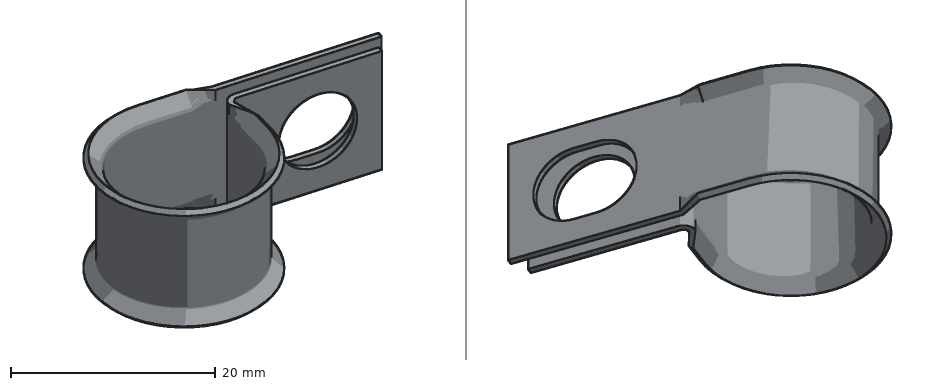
import cadquery as cq
import math

sheet = 0.7
half_height = 14.25 / 2
flare_radius = 19.72 / 2
inner_radius = 7.9
outer_radius = inner_radius + sheet

inner_bend = 1.0
outer_bend = inner_bend - sheet
diagonal = math.sqrt(0.5)

left_flare_end = 5.43
left_taper_end = 7.95
top_flare_end = 2.6
top_taper_end = 5.15

total_length = 36.45
left_leg_end = total_length - flare_radius
right_leg_end = 25.45
corner_inner = 0.62
corner_outer = corner_inner + sheet
right_leg_x = -(top_taper_end + corner_outer)

hole_y = 18.25
hole_diameter = 8.75
slot_length = 11.2

tip_offset = flare_radius - inner_radius
rim_offset = tip_offset - sheet * diagonal
bend_start = half_height - rim_offset + inner_bend * (1 - 2 * diagonal)


def bend_point(radius, degrees):
    """Point on a bend arc, at an angle up from the vertical sheet."""
    angle = math.radians(degrees)
    return inner_bend - radius * math.cos(angle), bend_start + radius * math.sin(angle)


def flare_section(workplane):
    """Upper half of the flared sheet section."""
    return (
        workplane.moveTo(0, 0)
        .lineTo(0, bend_start)
        .threePointArc(bend_point(inner_bend, 22.5), bend_point(inner_bend, 45))
        .lineTo(rim_offset, half_height)
        .lineTo(tip_offset, half_height - sheet * diagonal)
        .lineTo(*bend_point(outer_bend, 45))
        .threePointArc(bend_point(outer_bend, 22.5), (sheet, bend_start))
        .lineTo(sheet, 0)
        .close()
    )


def flat_section(workplane):
    """Upper half of the flat sheet, with one edge for each edge of the flare section."""
    return (
        workplane.moveTo(0, 0)
        .lineTo(0, bend_start)
        .lineTo(0, bend_point(inner_bend, 45)[1])
        .lineTo(0, half_height)
        .lineTo(sheet, half_height)
        .lineTo(sheet, bend_point(outer_bend, 45)[1])
        .lineTo(sheet, bend_start)
        .lineTo(sheet, 0)
        .close()
    )


def left_plane(y):
    """Section plane on the left run, facing along the leg."""
    return cq.Workplane(cq.Plane((-inner_radius, y, 0), (-1, 0, 0), (0, 1, 0)))


def top_plane(distance):
    """Section plane on the run at the +Y side of the ring."""
    return cq.Workplane(cq.Plane((-distance, inner_radius, 0), (0, 1, 0), (1, 0, 0)))


def taper(plane, flare_end, taper_end):
    """Ruled transition from the flared section to the flat sheet."""
    flare = flare_section(plane(flare_end)).wire().val()
    flat = flat_section(plane(taper_end)).wire().val()
    return cq.Workplane(cq.Solid.makeLoft([flare, flat], True))


def flat_leg(x, start, end):
    return cq.Workplane().box(sheet, end - start, half_height, centered=False).translate((x, start, 0))


def leg_corner():
    """Quarter bend joining the top run to the right leg."""
    center_y = inner_radius + corner_outer
    return (
        cq.Workplane()
        .moveTo(right_leg_x, center_y)
        .threePointArc(
            (-top_taper_end - corner_outer * diagonal, center_y - corner_outer * diagonal),
            (-top_taper_end, inner_radius),
        )
        .lineTo(-top_taper_end, outer_radius)
        .threePointArc(
            (-top_taper_end - corner_inner * diagonal, center_y - corner_inner * diagonal),
            (right_leg_x + sheet, center_y),
        )
        .close()
        .extrude(half_height)
    )


ring = flare_section(left_plane(0)).revolve(270, (-inner_radius, 0), (-inner_radius, 1))
pieces = [
    flare_section(left_plane(0)).extrude(left_flare_end),
    taper(left_plane, left_flare_end, left_taper_end),
    flat_leg(-outer_radius, left_taper_end, left_leg_end),
    flare_section(top_plane(0)).extrude(-top_flare_end),
    taper(top_plane, top_flare_end, top_taper_end),
    leg_corner(),
    flat_leg(right_leg_x, inner_radius + corner_outer, right_leg_end),
]
upper_half = ring
for piece in pieces:
    upper_half = upper_half.union(piece)

clamp = upper_half.union(upper_half.mirror("XY")).clean()

slot = (
    cq.Workplane("YZ", origin=(-outer_radius, hole_y, 0))
    .slot2D(slot_length, hole_diameter)
    .extrude(sheet)
)
hole = (
    cq.Workplane("YZ", origin=(right_leg_x, hole_y, 0))
    .circle(hole_diameter / 2)
    .extrude(sheet)
)

result = clamp.cut(slot).cut(hole)